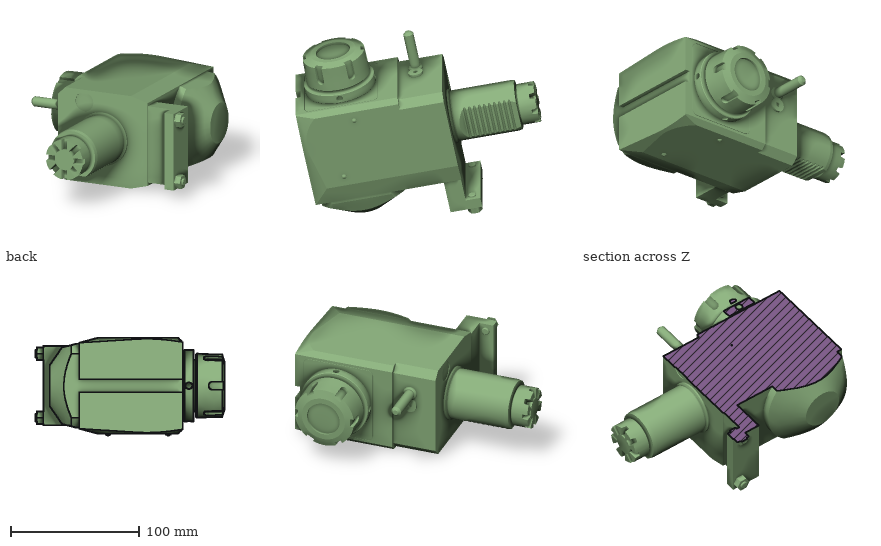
import cadquery as cq
import math


body_half_height = 37.5
body_back_y = 116.0
body_right_x = 39.0
rear_left_x = -42.0
rear_chamfer = 4.0
front_left_x = -39.0
front_chamfer = 6.0
step_y = 35.0
spindle_y = 80.0

shoulder_angle = 15.0
shoulder_right_x = 24.4
shoulder_corner_y = 104.2
dome_center_x = -14.0
dome_radius = 32.5

key_width = 10.0
key_depth = 4.0

panel_y_size = 58.5
panel_z_size = 63.2
panel_corner_radius = 5.0
panel_groove_width = 0.5
panel_groove_depth = 0.5
nut_face_x = -74.7
nut_front_x = -72.6
nut_back_x = -52.0
ring_front_x = -50.5
ring_back_x = -42.7
nut_face_radius = 18.0
nut_front_radius = 24.6
nut_radius = 25.2
nut_edge = 1.0
neck_radius = 20.3
ring_radius = 28.0
ring_edge = 0.5
bore_radius = 13.6
bore_depth = 2.0
nut_slot_count = 6
nut_slot_width = 6.4
nut_slot_floor_radius = 21.8
nut_slot_end_x = -58.2
nut_side_slot_end_x = -62.0
ring_hole_count = 4
ring_hole_radius = 2.6
ring_hole_depth = 4.0

pin_y = 21.0
pin_z = 16.1
pin_radius = 4.0
pin_tip_x = -71.7
pin_tip_chamfer_length = 2.0
pin_tip_radius = 2.0
collar_radius = 5.7
collar_length = 2.0
collar_chamfer = 1.2
screw_z = 6.1
socket_flats = 3.5
socket_depth = 2.0

plug_x = -16.1
plug_z = 27.8
plug_radius = 7.7
plug_depth = 0.5

flange_radius = 21.5
flange_length = 1.3
flange_taper_length = 1.0
relief_radius = 19.5
relief_end = 3.2
shank_radius = 20.0
shank_taper_start = 50.0
shank_end = 53.0
shank_end_radius = 19.4
shank_neck_radius = 12.7
drive_nut_start = 54.2
drive_nut_radius = 16.1
tip_y = -68.0
drive_nut_edge = 0.5
claw_depth = 4.3
claw_hub_radius = 8.3
claw_slot_count = 8
claw_slot_mouth = 5.0
claw_slot_floor = 3.6

rack_z = -16.0
rack_start = 10.4
rack_pitch = 3.95
rack_gap_count = 10
rack_depth = 1.3
rack_gap_mouth = 2.4
rack_gap_floor = 1.2

cover_radius = 40.5
cover_rim_x = 45.2
cover_end_x = 61.9
cover_end_radius = 16.2
cover_back_y = 112.0
cover_half_height = 32.8
cover_slope_x = 41.3

bracket_half_height = 31.0
bracket_back_y = 14.3
bracket_front_y = 0.6
flap_x = 59.0
flap_end_x = 67.0
flap_front_y = -11.0
bolt_y = -4.7
bolt_z = 25.0
bolt_radius = 3.0
bolt_start_x = 57.4
bolt_end_x = 73.4
bolt_chamfer = 0.5
nut_flats = 10.0
hex_nut_length = 5.0

stud_places = ((-30.5, 71.7), (16.5, 89.0))
stud_radius = 1.9
stud_rim = 0.6
stud_height = 1.6

overlap = 1.0


def hex_diameter(flats):
    return flats / math.cos(math.pi / 6)


def revolve_about_x(profile, y, z):
    """Turn (x, radius) points about the line parallel to X at the given Y and Z."""
    solid = cq.Workplane("XY").polyline(profile).close().revolve(360, (0, 0, 0), (1, 0, 0))
    return solid.translate((0, y, z))


def body_block(left_x, chamfer, start_y, end_y):
    h = body_half_height
    right_drop = (body_right_x - shoulder_right_x) * math.tan(math.radians(shoulder_angle))
    upper = [
        (left_x, h - chamfer),
        (left_x + chamfer, h),
        (shoulder_right_x, h),
        (body_right_x, h - right_drop),
    ]
    lower = [(x, -z) for x, z in reversed(upper)]
    section = cq.Workplane("XZ", origin=(0, start_y, 0)).polyline(upper + lower).close()
    return section.extrude(start_y - end_y)


def shoulder_envelope():
    """Flat-topped form whose sides fall away at the shoulder angle, mirrored about Z = 0."""
    corner_dx = shoulder_right_x - dome_center_x
    corner_dy = shoulder_corner_y - spindle_y
    reach = math.hypot(corner_dx, corner_dy)
    tangent_angle = math.atan2(corner_dy, corner_dx) + math.acos(dome_radius / reach)
    middle_angle = (tangent_angle + math.pi) / 2

    def on_dome(angle):
        return (
            dome_center_x + dome_radius * math.cos(angle),
            spindle_y + dome_radius * math.sin(angle),
        )

    back_slope = 1 / math.tan(tangent_angle)
    extension_dx = 2 * (body_right_x - shoulder_right_x)
    corner = (shoulder_right_x + extension_dx, shoulder_corner_y - extension_dx * back_slope)
    front_y = -2 * dome_radius
    half = (
        cq.Workplane("XY", origin=(0, 0, body_half_height))
        .moveTo(corner[0], front_y)
        .lineTo(*corner)
        .lineTo(*on_dome(tangent_angle))
        .threePointArc(on_dome(middle_angle), on_dome(math.pi))
        .lineTo(dome_center_x - dome_radius, front_y)
        .close()
        .extrude(-body_half_height, taper=shoulder_angle - 90)
    )
    return half.union(half.mirror("XY"))


def make_body():
    rear = body_block(rear_left_x, rear_chamfer, step_y, body_back_y)
    front = body_block(front_left_x, front_chamfer, 0, step_y)
    body = rear.union(front).intersect(shoulder_envelope())
    key_slot = cq.Workplane("XY").box(
        4 * body_right_x, 2 * key_depth, key_width
    ).translate((0, body_back_y, 0))
    plug = (
        cq.Workplane("XZ")
        .center(plug_x, plug_z)
        .circle(plug_radius)
        .extrude(-plug_depth)
    )
    return body.cut(key_slot).cut(plug).cut(panel_groove())


def panel_groove():
    def rounded_block(inset):
        block = cq.Workplane("XY").box(
            2 * panel_groove_depth, panel_y_size - 2 * inset, panel_z_size - 2 * inset
        )
        block = block.edges("|X").fillet(panel_corner_radius - inset)
        return block.translate((rear_left_x, spindle_y, 0))

    return rounded_block(0).cut(rounded_block(panel_groove_width))


def make_spindle_nose():
    profile = [
        (nut_face_x + bore_depth, 0),
        (nut_face_x + bore_depth, bore_radius),
        (nut_face_x, bore_radius),
        (nut_face_x, nut_face_radius),
        (nut_front_x, nut_front_radius),
        (nut_back_x - nut_edge, nut_radius),
        (nut_back_x, nut_radius - nut_edge),
        (nut_back_x, neck_radius),
        (ring_front_x, neck_radius),
        (ring_front_x, ring_radius - ring_edge),
        (ring_front_x + ring_edge, ring_radius),
        (ring_back_x - ring_edge, ring_radius),
        (ring_back_x, ring_radius - ring_edge),
        (ring_back_x, neck_radius),
        (rear_left_x + overlap, neck_radius),
        (rear_left_x + overlap, 0),
    ]
    nose = revolve_about_x(profile, 0, 0)
    slot_angle = 360 / nut_slot_count
    for i in range(nut_slot_count):
        is_side_slot = i % (nut_slot_count // 2) == 0
        slot = nut_slot(nut_side_slot_end_x if is_side_slot else nut_slot_end_x)
        nose = nose.cut(slot.rotate((0, 0, 0), (1, 0, 0), i * slot_angle))
    hole = ring_hole()
    for i in range(ring_hole_count):
        nose = nose.cut(hole.rotate((0, 0, 0), (1, 0, 0), i * 360 / ring_hole_count))
    return nose.translate((0, spindle_y, 0))


def nut_slot(end_x):
    """Round-ended slot in the -Y side of the nut, with the spindle axis on X."""
    start_x = nut_face_x - overlap
    center_x = end_x - nut_slot_width / 2
    return (
        cq.Workplane("XZ", origin=(0, -nut_slot_floor_radius, 0))
        .moveTo(start_x, -nut_slot_width / 2)
        .lineTo(center_x, -nut_slot_width / 2)
        .threePointArc((end_x, 0), (center_x, nut_slot_width / 2))
        .lineTo(start_x, nut_slot_width / 2)
        .close()
        .extrude(nut_radius)
    )


def ring_hole():
    """Drilled hole with a conical bottom in the -Y side of the ring."""
    rim_y = -ring_radius - overlap
    wall_end_y = ring_hole_depth - ring_radius
    profile = [
        (0, rim_y),
        (ring_hole_radius, rim_y),
        (ring_hole_radius, wall_end_y),
        (0, wall_end_y + ring_hole_radius),
    ]
    hole = cq.Workplane("XY").polyline(profile).close().revolve(360, (0, 0, 0), (0, 1, 0))
    return hole.translate(((ring_front_x + ring_back_x) / 2, 0, 0))


def make_pin():
    rod_profile = [
        (pin_tip_x, 0),
        (pin_tip_x, pin_tip_radius),
        (pin_tip_x + pin_tip_chamfer_length, pin_radius),
        (front_left_x, pin_radius),
        (front_left_x, 0),
    ]
    rod = revolve_about_x(rod_profile, pin_y, pin_z)
    face_x = front_left_x - collar_length
    collar_profile = [
        (face_x, 0),
        (face_x, collar_radius - collar_chamfer),
        (face_x + collar_chamfer, collar_radius),
        (front_left_x + overlap, collar_radius),
        (front_left_x + overlap, 0),
    ]
    collar = revolve_about_x(collar_profile, pin_y, pin_z)
    return rod.union(collar)


def make_screw():
    face_x = front_left_x - collar_length
    head = (
        cq.Workplane("YZ", origin=(face_x, pin_y, screw_z))
        .circle(collar_radius)
        .extrude(collar_length + overlap)
    )
    socket = (
        cq.Workplane("YZ", origin=(face_x, pin_y, screw_z))
        .polygon(6, hex_diameter(socket_flats))
        .extrude(socket_depth)
        .rotate((0, pin_y, screw_z), (1, pin_y, screw_z), 90)
    )
    return head.cut(socket)


def make_shank():
    profile = [
        (0, overlap),
        (flange_radius, overlap),
        (flange_radius, -flange_length),
        (relief_radius, -flange_length - flange_taper_length),
        (relief_radius, -relief_end),
        (shank_radius, -relief_end),
        (shank_radius, -shank_taper_start),
        (shank_end_radius, -shank_end),
        (shank_neck_radius, -shank_end),
        (shank_neck_radius, -drive_nut_start),
        (drive_nut_radius - drive_nut_edge, -drive_nut_start),
        (drive_nut_radius, -drive_nut_start - drive_nut_edge),
        (drive_nut_radius, tip_y),
        (0, tip_y),
    ]
    shank = cq.Workplane("XY").polyline(profile).close().revolve(360, (0, 0, 0), (0, 1, 0))
    return shank.cut(rack_cutter()).cut(claw_slots())


def rack_cutter():
    """Flat with a 45 degree run-out, plus the gaps between the rack teeth."""
    drop = flange_radius + rack_z + overlap
    width = 4 * shank_radius
    flat = (
        cq.Workplane("YZ", origin=(-width / 2, 0, 0))
        .moveTo(-rack_start, rack_z)
        .lineTo(-drive_nut_start, rack_z)
        .lineTo(-drive_nut_start, rack_z - drop)
        .lineTo(drop - rack_start, rack_z - drop)
        .close()
        .extrude(width)
    )
    for i in range(rack_gap_count):
        gap_y = -rack_start - (i + 0.5) * rack_pitch
        gap = (
            cq.Workplane("YZ", origin=(-width / 2, gap_y, rack_z))
            .moveTo(-rack_gap_mouth / 2, 0)
            .lineTo(-rack_gap_floor / 2, rack_depth)
            .lineTo(rack_gap_floor / 2, rack_depth)
            .lineTo(rack_gap_mouth / 2, 0)
            .close()
            .extrude(width)
        )
        flat = flat.union(gap)
    return flat


def claw_slots():
    """Radial slots in the end of the drive nut that stop at the central hub."""
    slot = (
        cq.Workplane("YZ")
        .moveTo(tip_y, -claw_slot_mouth / 2)
        .lineTo(tip_y + claw_depth, -claw_slot_floor / 2)
        .lineTo(tip_y + claw_depth, claw_slot_floor / 2)
        .lineTo(tip_y, claw_slot_mouth / 2)
        .close()
        .extrude(drive_nut_radius + overlap)
    )
    slots = slot
    for i in range(1, claw_slot_count):
        slots = slots.union(slot.rotate((0, 0, 0), (0, 1, 0), i * 360 / claw_slot_count))
    hub = cq.Workplane("XZ").circle(claw_hub_radius).extrude(-2 * tip_y, both=True)
    return slots.cut(hub)


def make_cover():
    start_x = body_right_x - overlap
    profile = [
        (start_x, 0),
        (start_x, cover_radius),
        (cover_rim_x, cover_radius),
        (cover_end_x, cover_end_radius),
        (cover_end_x, 0),
    ]
    disc = revolve_about_x(profile, spindle_y, 0)
    slope_drop = (cover_end_x - cover_slope_x) * math.tan(math.radians(shoulder_angle))
    upper = [
        (start_x, cover_half_height),
        (cover_slope_x, cover_half_height),
        (cover_end_x, cover_half_height - slope_drop),
    ]
    lower = [(x, -z) for x, z in reversed(upper)]
    bounds = (
        cq.Workplane("XZ", origin=(0, cover_back_y, 0))
        .polyline(upper + lower)
        .close()
        .extrude(cover_back_y)
    )
    return disc.intersect(bounds)


def make_bracket():
    outline = [
        (body_right_x - overlap, bracket_front_y),
        (flap_x, bracket_front_y),
        (flap_x, flap_front_y),
        (flap_end_x, flap_front_y),
        (flap_end_x, bracket_back_y),
        (body_right_x - overlap, bracket_back_y),
    ]
    bracket = (
        cq.Workplane("XY", origin=(0, 0, -bracket_half_height))
        .polyline(outline)
        .close()
        .extrude(2 * bracket_half_height)
    )
    for z in (-bolt_z, bolt_z):
        bolt = (
            cq.Workplane("YZ", origin=(bolt_start_x, bolt_y, z))
            .circle(bolt_radius)
            .extrude(bolt_end_x - bolt_start_x)
            .faces("<X or >X")
            .chamfer(bolt_chamfer)
        )
        nut = (
            cq.Workplane("YZ", origin=(flap_end_x, bolt_y, z))
            .polygon(6, hex_diameter(nut_flats))
            .extrude(hex_nut_length)
        )
        bracket = bracket.union(bolt).union(nut)
    return bracket


def make_studs():
    base_z = -body_half_height
    profile = [
        (0, base_z + overlap),
        (stud_radius, base_z + overlap),
        (stud_radius, base_z - stud_rim),
        (0, base_z - stud_height),
    ]
    stud = cq.Workplane("XZ").polyline(profile).close().revolve(360, (0, 0, 0), (0, 1, 0))
    studs = cq.Workplane("XY")
    for x, y in stud_places:
        studs = studs.add(stud.translate((x, y, 0)))
    return studs.combine()


result = (
    make_body()
    .union(make_spindle_nose())
    .union(make_pin())
    .union(make_screw())
    .union(make_shank())
    .union(make_cover())
    .union(make_bracket())
    .union(make_studs())
)